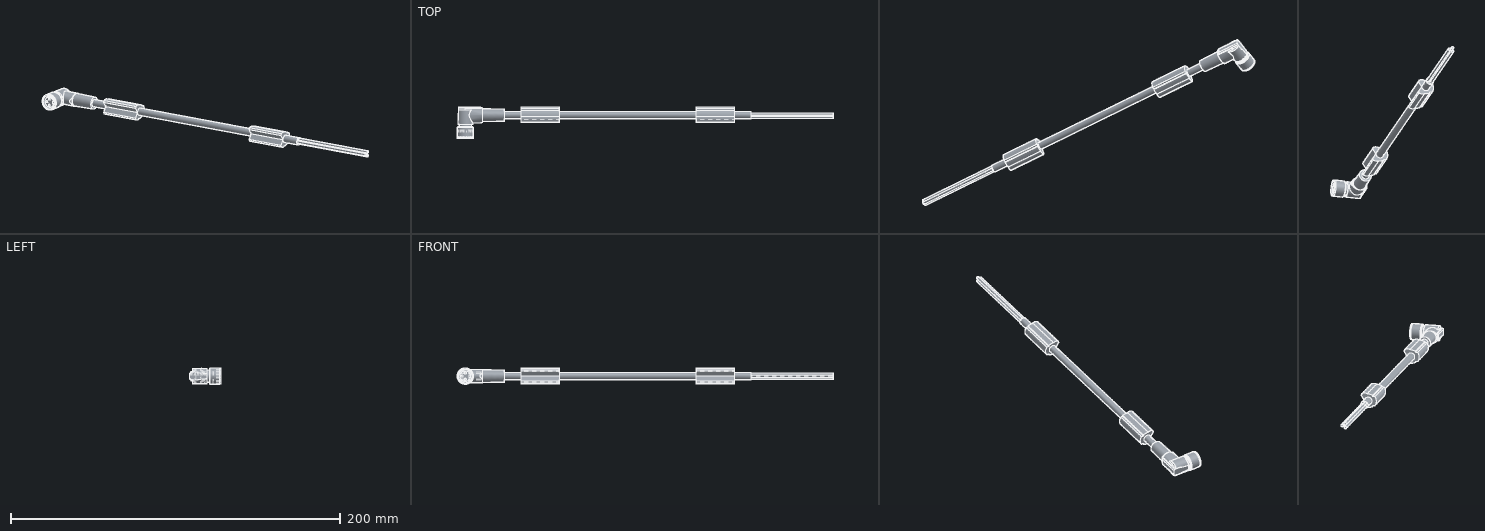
import cadquery as cq
import math


grip_end = 23.76
jacket_length = 150.0
wire_length = 50.0
jacket_end = grip_end + jacket_length
marker_gap = 10.0
marker_length = 23.4
marker_starts = (grip_end + marker_gap, jacket_end - marker_gap - marker_length)

jacket_radius = 2.3
wire_radius = 0.8
wire_count = 3
wire_circle_radius = 1.35

body_radius = 4.75
flat_front_x = -4.5
flat_back_x = -4.1
body_back = 3.3
body_front = -5.6
arm_half_depth = 4.9
arm_half_height = 4.1
arm_end = 10.5
arm_bevel_length = 1.5
arm_bevel_drop = 0.5
grip_root_radius = 4.0
grip_tip_radius = 3.75

pad_right = 9.6
pad_back = 5.06
pad_half_height = 2.4
pad_chamfer = 0.7

nut_radius = 5.0
nut_start = -7.0
nut_end = -14.1
nut_back_chamfer = 0.5
rim_radius = 4.9
rim_width = 0.8
neck_radius = 3.8

bore_radius = 4.1
bore_depth = 5.0
insert_radius = 3.2
insert_recess = 0.6
pin_hole_radius = 0.65
pin_hole_depth = 4.0
pin_circle_radius = 1.9
pin_angles = (90, 180, 270)
key_slot_width = 1.6
key_slot_depth = 0.9

marker_back = (5.05, 0)
marker_back_edge = (4.08, 2.9)
marker_ledge = (2.7, 3.0)
marker_shoulder = (2.7, 3.5)
marker_flank_mid = (1.0, 4.15)
marker_step_foot = (-0.7, 4.4)
marker_step_top = (-1.3, 4.7)
marker_lobe_mid = (-2.6, 4.75)
marker_lobe_end = (-4.1, 4.2)
marker_lip = (-4.5, 3.1)
marker_notch = (-2.5, 0)


def rod_along_x(radius, start, end, y=0.0, z=0.0):
    return cq.Workplane("YZ", origin=(start, y, z)).circle(radius).extrude(end - start)


def rod_along_y(radius, start, end, x=0.0, z=0.0):
    """Cylinder that runs from Y = start towards -Y, ending at Y = end."""
    return cq.Workplane("XZ", origin=(x, start, z)).circle(radius).extrude(start - end)


def block(x_range, y_range, half_height):
    length = x_range[1] - x_range[0]
    depth = y_range[1] - y_range[0]
    return (
        cq.Workplane("XY")
        .box(length, depth, 2 * half_height, centered=(False, False, True))
        .translate((x_range[0], y_range[0], 0))
    )


def make_body():
    body = rod_along_y(body_radius, body_back, body_front)
    pad = block((-body_radius, pad_right), (0, pad_back), pad_half_height)
    pad = pad.faces(">Y").edges("|X or >X").chamfer(pad_chamfer)
    flat_side = (
        cq.Workplane("XY", origin=(0, 0, -body_radius))
        .moveTo(flat_front_x, body_front)
        .lineTo(flat_back_x, pad_back)
        .lineTo(-body_radius, pad_back)
        .lineTo(-body_radius, body_front)
        .close()
        .extrude(2 * body_radius)
    )
    body = body.union(pad).cut(flat_side)
    return body.union(make_arm()).union(make_grip())


def make_arm():
    """Oval arm, bevelled at its front and back where it meets the grip."""
    oval = cq.Workplane("YZ").ellipse(arm_half_depth, arm_half_height).extrude(arm_end)
    bevel_start = arm_end - arm_bevel_length
    bevel_y = arm_half_depth - arm_bevel_drop
    envelope = (
        cq.Workplane("XY", origin=(0, 0, -arm_half_height))
        .moveTo(0, -arm_half_depth)
        .lineTo(bevel_start, -arm_half_depth)
        .lineTo(arm_end, -bevel_y)
        .lineTo(arm_end, bevel_y)
        .lineTo(bevel_start, arm_half_depth)
        .lineTo(0, arm_half_depth)
        .close()
        .extrude(2 * arm_half_height)
    )
    return oval.intersect(envelope)


def make_grip():
    return (
        cq.Workplane("YZ", origin=(arm_end, 0, 0))
        .circle(grip_root_radius)
        .workplane(offset=grip_end - arm_end)
        .circle(grip_tip_radius)
        .loft()
    )


def make_nut():
    neck = rod_along_y(neck_radius, body_front, nut_start)
    sleeve = rod_along_y(nut_radius, nut_start, nut_end + rim_width)
    sleeve = sleeve.faces(">Y").chamfer(nut_back_chamfer)
    nut = sleeve.union(rod_along_y(rim_radius, nut_end + rim_width, nut_end))
    bore = rod_along_y(bore_radius, nut_end + bore_depth, nut_end)
    return neck.union(nut.cut(bore)).union(make_insert())


def make_insert():
    face_y = nut_end + insert_recess
    insert = rod_along_y(insert_radius, nut_end + bore_depth, face_y)
    for angle in pin_angles:
        x = pin_circle_radius * math.cos(math.radians(angle))
        z = pin_circle_radius * math.sin(math.radians(angle))
        insert = insert.cut(rod_along_y(pin_hole_radius, face_y + pin_hole_depth, face_y, x, z))
    key_slot = block(
        (insert_radius - key_slot_depth, insert_radius),
        (face_y, face_y + pin_hole_depth),
        key_slot_width / 2,
    )
    return insert.cut(key_slot)


def make_marker(start):
    """Clip-on sleeve with a V notch that opens towards -Y."""

    def below(point):
        return (point[0], -point[1])

    return (
        cq.Workplane("YZ", origin=(start, 0, 0))
        .moveTo(*marker_notch)
        .lineTo(*marker_lip)
        .lineTo(*marker_lobe_end)
        .threePointArc(marker_lobe_mid, marker_step_top)
        .lineTo(*marker_step_foot)
        .threePointArc(marker_flank_mid, marker_shoulder)
        .lineTo(*marker_ledge)
        .lineTo(*marker_back_edge)
        .threePointArc(marker_back, below(marker_back_edge))
        .lineTo(*below(marker_ledge))
        .lineTo(*below(marker_shoulder))
        .threePointArc(below(marker_flank_mid), below(marker_step_foot))
        .lineTo(*below(marker_step_top))
        .threePointArc(below(marker_lobe_mid), below(marker_lobe_end))
        .lineTo(*below(marker_lip))
        .close()
        .extrude(marker_length)
    )


def make_cable():
    cable = rod_along_x(jacket_radius, 0, jacket_end)
    for index in range(wire_count):
        angle = math.radians(180 + index * 360 / wire_count)
        y = wire_circle_radius * math.cos(angle)
        z = wire_circle_radius * math.sin(angle)
        wire_start = jacket_end - wire_radius
        cable = cable.union(rod_along_x(wire_radius, wire_start, jacket_end + wire_length, y, z))
    return cable


result = make_body().union(make_nut()).union(make_cable())
for marker_start in marker_starts:
    result = result.union(make_marker(marker_start))